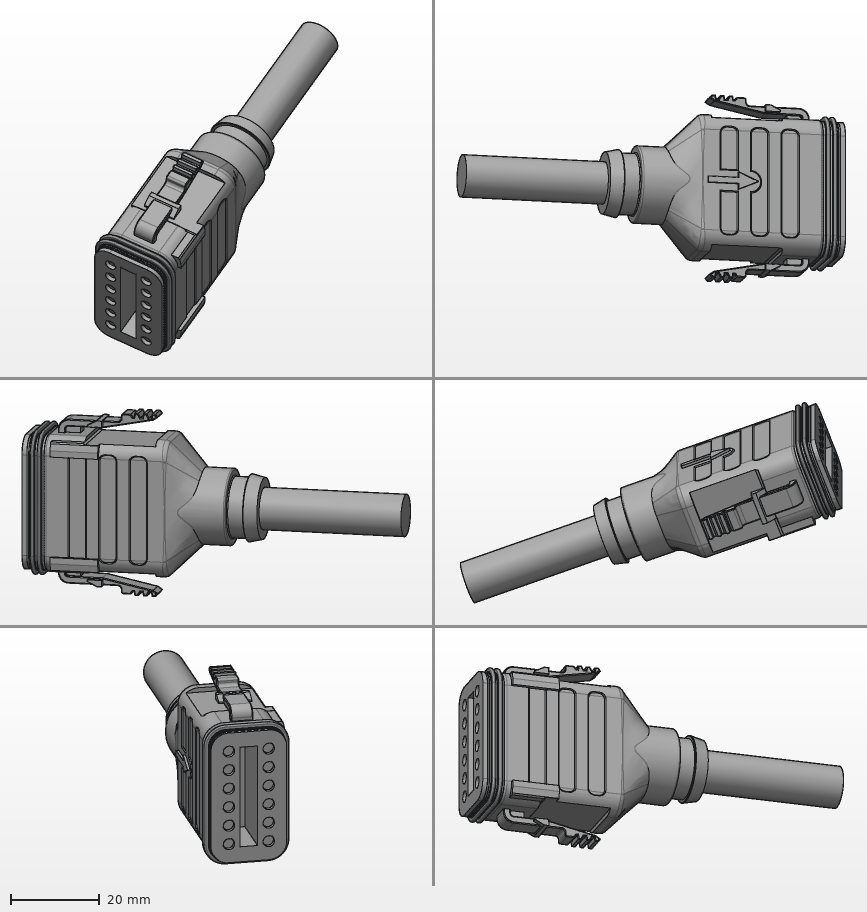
import cadquery as cq
import math

HALF_WIDTH = 18.0 / 2
HALF_HEIGHT = 31.5 / 2
CORNER_RADIUS = 4.2
SEAL_REAR = 5.1
HOUSING_REAR = 33.05
SHOULDER_FILLET = 1.5
FRONT_ROUND = 0.5

CLEARANCE = 0.9
PICK_MARGIN = 0.1

TOTAL_LENGTH = 86.75
CABLE_RADIUS = 9.6 / 2
NECK_RADIUS = 14.0 / 2
COLLAR_RADIUS = 17.5 / 2
COLLAR_REAR = 46.9
COLLAR_ROUND = 0.35
NECK_ROOT = 0.3
FLANGE_REAR = 54.0
FLANGE_FRONT = 50.75
FLANGE_REAR_RADIUS = 7.0
FLANGE_LIP_RADIUS = 7.7
FLANGE_BEVEL = 0.2

TAPER_REAR = 40.7
TAPER_RADIUS = 8.4
TAPER_LOW_ANGLE = 51
TAPER_HIGH_ANGLE = 70.5

SEAL_INSET = 0.3
RING_OUTSET = 0.82
RING_WIDTH = 0.8
RING_FRONTS = (2.1, 3.65)
RING_ROUND = 0.35
RING_ROOT = 0.2
SEAL_GROOVE_FRONT = 1.1
SEAL_GROOVE_WIDTH = 0.4
SEAL_GROOVE_DEPTH = 0.2

HOLE_DIAMETER = 2.6
HOLE_DEPTH = 1.0
HOLE_ROWS = 6
HOLE_PITCH = 4.4
HOLE_COLUMN_X = 4.6
SLOT_WIDTH = 4.0
SLOT_HEIGHT = 23.8
SLOT_DEPTH = 13

FLAT_HEIGHT = 14.7
FLAT_FRONT = 14.2
FLAT_REAR = 30.6
FLAT_RAMP_LENGTH = 0.6
FLAT_RAMP_RISE = 0.3

RIB_FRONT = 6.8
RIB_REAR = 17.8
RIB_INNER_X = 7.2
RIB_OUTER_X = HALF_WIDTH + RING_OUTSET
RIB_TOP = 14.9
RIB_BOTTOM = HALF_HEIGHT - CORNER_RADIUS
RIB_TOP_X = 9.1
RIB_SHOULDER = 0.35
RIB_SIDE_TOP = 13

GRIP_WIDTH = 4.25
GRIP_HALF_HEIGHT = 12.7
GRIP_CORNER = 1.65
GRIP_DEPTH = 0.3
GRIP_REACH = 0.8
GRIP_TAPER = 45
GRIP_FRONTS = (10.8, 17.8, 24.8)
GRIP_GAP = 4.7
ARROW_LAND_RADIUS = 2.3

ARROW_TIP = 20.3
ARROW_NECK = 24.9
ARROW_REAR = 31.9
ARROW_HEAD_HALF = 2.0
ARROW_SHAFT_HALF = 0.7
ARROW_RAISE = 0.6

LATCH_HALF_WIDTH = 5.1 / 2
LATCH_FRONT = 6.9
ARM_TOP = 18.9
ARM_THICKNESS = 1.65
BEND_RADIUS = 2.4
THUMB_SLOPE_START = 17.2
THUMB_TIP = 29.9
THUMB_TIP_Z = 20.3
THUMB_UNDER_END = 28.9
THUMB_UNDER_Z = 19.6
PAD_TOP = 20.7
PAD_FRONT = 21.5
PAD_REAR = 23.7
PAD_BLEND = 0.9
PAD_ROUND = 0.5
VALLEY_Z = 20.0
TOOTH_TOP = 21.0
TOOTH_FRONTS = (24.6, 26.6, 28.6)
TOOTH_WIDTH = 0.8
TOOTH_FRONT_SLOPE = 0.2
TOOTH_REAR_SLOPE = 0.5
LATCH_BEVEL = 0.22
BAR_HALF_WIDTH = 3.8
BAR_FRONT = 14.0
BAR_REAR = 17.3
BAR_TOP = 19.1
BAR_TOP_LENGTH = 1.1
BAR_NOSE_Z = 18.0
BAR_BOTTOM = 17.6
STOP_HALF_WIDTH = 1.7
STOP_REAR = 12.0


def rounded_plate(front, rear, offset):
    """Slice of the housing section, grown outward by offset."""
    plate = cq.Workplane("XY").box(
        2 * (HALF_WIDTH + offset), rear - front, 2 * (HALF_HEIGHT + offset)
    )
    plate = plate.edges("|Y").fillet(CORNER_RADIUS + offset)
    return plate.translate((0, (front + rear) / 2, 0))


def side_prism(outline, half_width):
    """Extrude a closed (Y, Z) outline symmetrically along X."""
    return outline.extrude(half_width, both=True)


def both_ends(top_feature):
    """Top feature together with its mirror image at the bottom."""
    return top_feature.union(top_feature.mirror("XY"))


def section_wire(y, points):
    """Closed wire of eight edges: straight or curved between (X, Z, mid) points."""
    edges = []
    for index, (x, z, middle) in enumerate(points):
        next_x, next_z, _ = points[(index + 1) % len(points)]
        start = cq.Vector(x, y, z)
        end = cq.Vector(next_x, y, next_z)
        if middle is None:
            edges.append(cq.Edge.makeLine(start, end))
        else:
            via = cq.Vector(middle[0], y, middle[1])
            edges.append(cq.Edge.makeThreePointArc(start, via, end))
    return cq.Wire.assembleEdges(edges)


def polar(radius, angle, x=0, z=0):
    """(X, Z) point at an angle in degrees around the centre (x, z)."""
    turn = math.radians(angle)
    return (x + radius * math.cos(turn), z + radius * math.sin(turn))


def make_taper():
    """Loft from the rounded housing section to a circle."""
    flat_x = HALF_WIDTH - CORNER_RADIUS
    flat_z = HALF_HEIGHT - CORNER_RADIUS
    box_points = []
    circle_points = []
    for quarter, (side_x, side_z) in enumerate(((1, 1), (-1, 1), (-1, -1), (1, -1))):
        turn = 90 * quarter
        arc_start = polar(CORNER_RADIUS, turn, side_x * flat_x, side_z * flat_z)
        arc_middle = polar(CORNER_RADIUS, turn + 45, side_x * flat_x, side_z * flat_z)
        arc_end = polar(CORNER_RADIUS, turn + 90, side_x * flat_x, side_z * flat_z)
        box_points.append((*arc_start, arc_middle))
        box_points.append((*arc_end, None))

        if quarter % 2 == 0:
            low, high = turn + TAPER_LOW_ANGLE, turn + TAPER_HIGH_ANGLE
        else:
            low, high = turn + 90 - TAPER_HIGH_ANGLE, turn + 90 - TAPER_LOW_ANGLE
        corner_middle = polar(TAPER_RADIUS, (low + high) / 2)
        flat_middle = polar(TAPER_RADIUS, turn + 90)
        circle_points.append((*polar(TAPER_RADIUS, low), corner_middle))
        circle_points.append((*polar(TAPER_RADIUS, high), flat_middle))
    wires = [section_wire(HOUSING_REAR, box_points), section_wire(TAPER_REAR, circle_points)]
    return cq.Workplane(cq.Solid.makeLoft(wires, True))


def make_shell():
    """Housing with its rounded rear shoulder and the taper behind it."""
    housing = rounded_plate(SEAL_REAR, HOUSING_REAR, 0).faces("<Y").edges().fillet(FRONT_ROUND)
    shell = housing.union(make_taper())
    shoulder = cq.selectors.BoxSelector(
        (-HALF_WIDTH - CLEARANCE, HOUSING_REAR - PICK_MARGIN, -HALF_HEIGHT - CLEARANCE),
        (HALF_WIDTH + CLEARANCE, HOUSING_REAR + PICK_MARGIN, HALF_HEIGHT + CLEARANCE),
        boundingbox=True,
    )
    return shell.edges(shoulder).fillet(SHOULDER_FILLET)


def make_strain_relief():
    """Cable, flange, neck and collar turned about the Y axis."""
    turned = (
        cq.Workplane("XY")
        .moveTo(0, HOUSING_REAR)
        .lineTo(COLLAR_RADIUS, HOUSING_REAR)
        .lineTo(COLLAR_RADIUS, COLLAR_REAR - COLLAR_ROUND)
        .radiusArc((COLLAR_RADIUS - COLLAR_ROUND, COLLAR_REAR), -COLLAR_ROUND)
        .lineTo(NECK_RADIUS + NECK_ROOT, COLLAR_REAR)
        .lineTo(NECK_RADIUS, COLLAR_REAR + NECK_ROOT)
        .lineTo(NECK_RADIUS, FLANGE_FRONT)
        .lineTo(FLANGE_LIP_RADIUS - FLANGE_BEVEL, FLANGE_FRONT)
        .lineTo(FLANGE_LIP_RADIUS, FLANGE_FRONT + FLANGE_BEVEL)
        .lineTo(FLANGE_REAR_RADIUS, FLANGE_REAR)
        .lineTo(CABLE_RADIUS, FLANGE_REAR)
        .lineTo(CABLE_RADIUS, TOTAL_LENGTH)
        .lineTo(0, TOTAL_LENGTH)
        .close()
    )
    return turned.revolve(360, (0, 0, 0), (0, 1, 0))


def make_seal():
    """Inset core with two rounded sealing rings and a narrow groove."""
    seal = rounded_plate(0, SEAL_REAR, -SEAL_INSET)
    groove_rear = SEAL_GROOVE_FRONT + SEAL_GROOVE_WIDTH
    groove = rounded_plate(SEAL_GROOVE_FRONT, groove_rear, 0)
    groove = groove.cut(
        rounded_plate(SEAL_GROOVE_FRONT, groove_rear, -SEAL_INSET - SEAL_GROOVE_DEPTH)
    )
    seal = seal.cut(groove)
    for front in RING_FRONTS:
        rear = front + RING_WIDTH
        ring = rounded_plate(front, rear, RING_OUTSET)
        ring = ring.faces("<Y or >Y").edges().fillet(RING_ROUND)
        root = rounded_plate(front - RING_ROOT, rear + RING_ROOT, RING_ROOT - SEAL_INSET)
        root = root.faces("<Y or >Y").edges().chamfer(RING_ROOT)
        seal = seal.union(root).union(ring)
    return seal


def make_ribs():
    """Keying ribs on the upper and lower +X corners."""
    outline = (
        cq.Workplane("XZ", origin=(0, RIB_FRONT, 0))
        .moveTo(RIB_INNER_X, RIB_TOP)
        .lineTo(RIB_TOP_X, RIB_TOP)
        .lineTo(RIB_TOP_X + RIB_SHOULDER, RIB_TOP - RIB_SHOULDER)
        .lineTo(RIB_OUTER_X, RIB_SIDE_TOP)
        .lineTo(RIB_OUTER_X, RIB_BOTTOM)
        .lineTo(RIB_INNER_X, RIB_BOTTOM)
        .close()
    )
    return both_ends(outline.extrude(RIB_FRONT - RIB_REAR))


def make_flat_cuts():
    """Material removed above and below to leave the flats under the latches."""
    outline = (
        cq.Workplane("YZ")
        .moveTo(FLAT_REAR, FLAT_HEIGHT)
        .lineTo(FLAT_FRONT + FLAT_RAMP_LENGTH, FLAT_HEIGHT)
        .lineTo(FLAT_FRONT, FLAT_HEIGHT + FLAT_RAMP_RISE)
        .lineTo(FLAT_FRONT, HALF_HEIGHT + CLEARANCE)
        .lineTo(FLAT_REAR, HALF_HEIGHT + CLEARANCE)
        .close()
    )
    return both_ends(side_prism(outline, RIB_OUTER_X + CLEARANCE))


def make_grip(front):
    """Oval prism entering the -X side, its walls sloping inward."""
    oval = cq.Sketch().rect(GRIP_WIDTH, 2 * GRIP_HALF_HEIGHT).vertices().fillet(GRIP_CORNER)
    side = cq.Workplane("YZ", origin=(-HALF_WIDTH, front + GRIP_WIDTH / 2, 0))
    return side.placeSketch(oval).extrude(GRIP_REACH, taper=GRIP_TAPER)


def make_grips():
    """Recesses of even depth on both sides, interrupted around the -X arrow."""
    ovals = [make_grip(front) for front in GRIP_FRONTS]
    plain = ovals[0].union(ovals[1]).union(ovals[2])
    _, land_front, gap_front = GRIP_FRONTS
    side = cq.Workplane("YZ", origin=(-HALF_WIDTH, 0, 0))
    shaft_land = side.center(gap_front + GRIP_WIDTH / 2, 0).rect(GRIP_WIDTH, GRIP_GAP)
    shaft_land = shaft_land.extrude(GRIP_REACH, taper=-GRIP_TAPER)
    tip_land = side.center(land_front + GRIP_WIDTH, 0).circle(ARROW_LAND_RADIUS)
    tip_land = tip_land.extrude(GRIP_REACH, taper=-GRIP_TAPER)
    interrupted = plain.cut(shaft_land).cut(tip_land)
    floor = rounded_plate(SEAL_REAR, HOUSING_REAR, -GRIP_DEPTH)
    return interrupted.union(plain.mirror("YZ")).cut(floor)


def make_arrow():
    """Raised arrow on the -X side pointing at the mating face."""
    outline = (
        cq.Workplane("YZ", origin=(-HALF_WIDTH - ARROW_RAISE, 0, 0))
        .moveTo(ARROW_TIP, 0)
        .lineTo(ARROW_NECK, ARROW_HEAD_HALF)
        .lineTo(ARROW_NECK, ARROW_SHAFT_HALF)
        .lineTo(ARROW_REAR, ARROW_SHAFT_HALF)
        .lineTo(ARROW_REAR, -ARROW_SHAFT_HALF)
        .lineTo(ARROW_NECK, -ARROW_SHAFT_HALF)
        .lineTo(ARROW_NECK, -ARROW_HEAD_HALF)
        .close()
    )
    return outline.extrude(ARROW_RAISE + GRIP_DEPTH)


def make_arm():
    """Latch arm: hooked foot, straight arm and sloping thumb rest with a pad and teeth."""
    bend_y = LATCH_FRONT + BEND_RADIUS
    bend_z = ARM_TOP - BEND_RADIUS
    arm_bottom = ARM_TOP - ARM_THICKNESS
    inner_radius = BEND_RADIUS - ARM_THICKNESS
    root_z = FLAT_HEIGHT
    outline = (
        cq.Workplane("YZ")
        .moveTo(LATCH_FRONT, root_z)
        .lineTo(LATCH_FRONT, bend_z)
        .radiusArc((bend_y, ARM_TOP), BEND_RADIUS)
        .lineTo(PAD_FRONT - PAD_BLEND, ARM_TOP)
        .radiusArc((PAD_FRONT, ARM_TOP + PAD_BLEND), -PAD_BLEND)
        .lineTo(PAD_FRONT, PAD_TOP - PAD_ROUND)
        .radiusArc((PAD_FRONT + PAD_ROUND, PAD_TOP), PAD_ROUND)
        .lineTo(PAD_REAR, PAD_TOP)
    )
    crest_rear = PAD_REAR
    for front in TOOTH_FRONTS:
        outline = (
            outline.lineTo(crest_rear + TOOTH_REAR_SLOPE, VALLEY_Z)
            .lineTo(front - TOOTH_FRONT_SLOPE, VALLEY_Z)
            .lineTo(front, TOOTH_TOP)
            .lineTo(front + TOOTH_WIDTH, TOOTH_TOP)
        )
        crest_rear = front + TOOTH_WIDTH
    outline = (
        outline.lineTo(THUMB_TIP, THUMB_TIP_Z)
        .lineTo(THUMB_UNDER_END, THUMB_UNDER_Z)
        .lineTo(THUMB_SLOPE_START, arm_bottom)
        .lineTo(bend_y, arm_bottom)
        .radiusArc((bend_y - inner_radius, bend_z), -inner_radius)
        .lineTo(bend_y - inner_radius, root_z)
        .close()
    )
    arm = side_prism(outline, LATCH_HALF_WIDTH)
    return arm.faces("<X or >X").edges().chamfer(LATCH_BEVEL)


def make_crossbar():
    """Wide bar across the arm with a sloping front."""
    outline = (
        cq.Workplane("YZ")
        .moveTo(BAR_REAR, BAR_TOP)
        .lineTo(BAR_REAR - BAR_TOP_LENGTH, BAR_TOP)
        .lineTo(BAR_FRONT, BAR_NOSE_Z)
        .lineTo(BAR_FRONT, BAR_BOTTOM)
        .lineTo(BAR_REAR, BAR_BOTTOM)
        .close()
    )
    return side_prism(outline, BAR_HALF_WIDTH)


def make_stop():
    """Narrow block under the bend that joins the arm to the housing."""
    stop = cq.Workplane("XY").box(
        2 * STOP_HALF_WIDTH,
        STOP_REAR - LATCH_FRONT - ARM_THICKNESS,
        ARM_TOP - ARM_THICKNESS - FLAT_HEIGHT,
        centered=(True, False, False),
    )
    return stop.translate((0, LATCH_FRONT + ARM_THICKNESS, FLAT_HEIGHT))


def make_latches():
    """Complete latches above and below the housing."""
    latch = make_arm().union(make_crossbar()).union(make_stop())
    return both_ends(latch)


def make_face_openings():
    """Contact holes in two columns and the wedge slot between them."""
    face = cq.Workplane("XZ")
    holes = face.rarray(2 * HOLE_COLUMN_X, HOLE_PITCH, 2, HOLE_ROWS).circle(HOLE_DIAMETER / 2)
    holes = holes.extrude(-HOLE_DEPTH)
    slot = face.rect(SLOT_WIDTH, SLOT_HEIGHT).extrude(-SLOT_DEPTH)
    return holes.union(slot)


result = make_shell().cut(make_grips()).union(make_ribs()).cut(make_flat_cuts())
result = result.union(make_strain_relief()).union(make_seal()).union(make_arrow()).union(make_latches())
result = result.cut(make_face_openings())